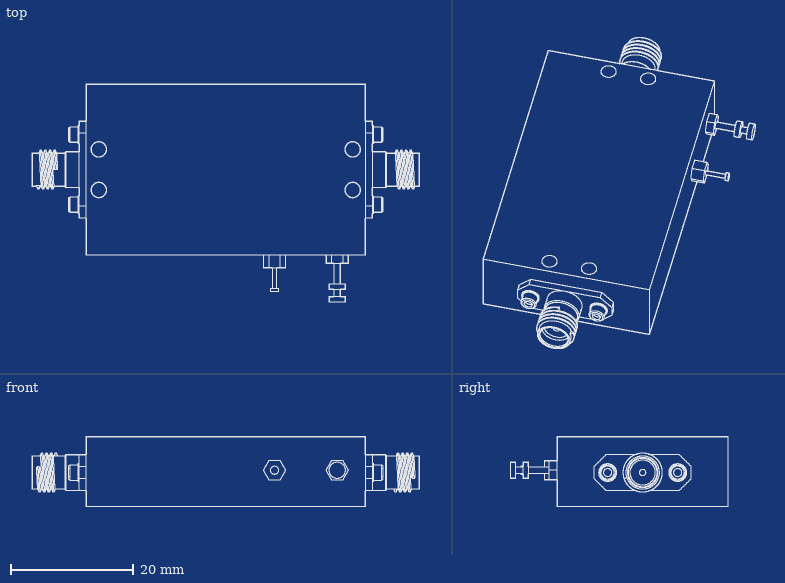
import cadquery as cq
import math

overall_length = 63.2
connector_length = 8.8
housing_length = overall_length - 2 * connector_length
housing_width = 27.95
housing_height = 11.45
half_length = housing_length / 2
half_width = housing_width / 2

mount_hole_diameter = 2.45
mount_hole_inset = 2.1
mount_hole_spacing = 6.65

connector_height = 5.55
flange_width = 15.85
flange_height = 5.9
flange_thickness = 1.15
flange_chamfer = 1.95
collar_end = 3.5
collar_diameter = 5.9
collar_chamfer = 0.2
barrel_diameter = 5.45
thread_start = 4.9
thread_pitch = 0.75
thread_turns = 3.8
thread_crest_diameter = 6.4
thread_ridge_base = 0.65
thread_crest_width = 0.2
thread_embed = 0.05
rim_diameter = 4.9
rim_depth = 0.2
bore_diameter = 4.7
bore_floor_diameter = 4.1
bore_taper_length = 0.4
bore_depth = 1.9
bore_floor = connector_length - bore_depth
socket_diameter = 1.0
socket_depth = 1.9

screw_spacing = 11.45
screw_washer_diameter = 2.9
screw_washer_thickness = 0.2
screw_head_diameter = 2.5
screw_head_height = 1.7
screw_head_chamfer = 0.2
screw_recess_diameter = 1.3
screw_recess_depth = 0.6

terminal_height = 5.95
nut_across_flats = 3.15
nut_across_corners = nut_across_flats / math.cos(math.pi / 6)

feed_x = 7.95
feed_nut_thickness = 2.1
feed_pin_diameter = 0.7
feed_head_diameter = 1.3
feed_head_thickness = 0.5
feed_reach = 5.95

turret_x = 18.2
turret_nut_thickness = 1.3
turret_pin_diameter = 1.1
turret_disc_diameter = 2.65
turret_disc_thickness = 0.9
turret_inner_disc_start = 4.7
turret_reach = 7.65


def make_housing():
    """Rectangular block with four vertical through holes."""
    hole_spacing_x = housing_length - 2 * mount_hole_inset
    return (
        cq.Workplane("XY")
        .box(housing_length, housing_width, housing_height, centered=(True, True, False))
        .faces(">Z")
        .workplane()
        .rarray(hole_spacing_x, mount_hole_spacing, 2, 2)
        .hole(mount_hole_diameter)
    )


def make_rod(diameter, start, end):
    """Cylinder along +Z between two distances."""
    return cq.Workplane("XY").workplane(offset=start).circle(diameter / 2).extrude(end - start)


def make_thread():
    """Helical ridge with a narrow flat crest around the barrel."""
    root_radius = barrel_diameter / 2 - thread_embed
    crest_radius = thread_crest_diameter / 2
    helix = cq.Wire.makeHelix(thread_pitch, thread_pitch * thread_turns, root_radius)
    ridge = (
        cq.Workplane("XZ")
        .moveTo(root_radius, -thread_ridge_base / 2)
        .lineTo(crest_radius, -thread_crest_width / 2)
        .lineTo(crest_radius, thread_crest_width / 2)
        .lineTo(root_radius, thread_ridge_base / 2)
        .close()
        .sweep(cq.Workplane(helix), isFrenet=True)
    )
    return ridge.translate((0, 0, thread_start))


def make_bore():
    """Open front cavity: flared rim, straight bore, short taper at the floor."""
    return (
        cq.Workplane("XZ")
        .moveTo(0, bore_floor)
        .lineTo(bore_floor_diameter / 2, bore_floor)
        .lineTo(bore_diameter / 2, bore_floor + bore_taper_length)
        .lineTo(bore_diameter / 2, connector_length - rim_depth)
        .lineTo(rim_diameter / 2, connector_length)
        .lineTo(0, connector_length)
        .close()
        .revolve(360, (0, 0, 0), (0, 1, 0))
    )


def make_screw():
    """Socket-head screw standing on a thin washer, axis along +Z."""
    washer = make_rod(screw_washer_diameter, 0, screw_washer_thickness)
    head = make_rod(screw_head_diameter, 0, screw_head_height).faces(">Z").chamfer(screw_head_chamfer)
    recess = make_rod(screw_recess_diameter, screw_head_height - screw_recess_depth, screw_head_height)
    return washer.union(head).cut(recess)


def make_connector():
    """Flanged coaxial connector with its axis along +Z and its flange on Z = 0."""
    flange = (
        cq.Workplane("XY")
        .rect(flange_height, flange_width)
        .extrude(flange_thickness)
        .edges("|Z")
        .chamfer(flange_chamfer)
    )
    collar = make_rod(collar_diameter, 0, collar_end).faces(">Z").chamfer(collar_chamfer)
    barrel = make_rod(barrel_diameter, 0, connector_length)
    socket = make_rod(socket_diameter, bore_floor - socket_depth, bore_floor)
    connector = flange.union(collar).union(barrel).union(make_thread())
    connector = connector.cut(make_bore()).cut(socket)
    for side in (-1, 1):
        connector = connector.union(make_screw().translate((0, side * screw_spacing / 2, flange_thickness)))
    return connector


def make_nut(thickness):
    """Hexagonal nut along +Z with two corners on the X axis."""
    return cq.Workplane("XY").polygon(6, nut_across_corners).extrude(thickness)


def make_feed_terminal():
    """Thin headed pin through a hexagonal nut."""
    pin = make_rod(feed_pin_diameter, 0, feed_reach)
    head = make_rod(feed_head_diameter, feed_reach - feed_head_thickness, feed_reach)
    return make_nut(feed_nut_thickness).union(pin).union(head)


def make_turret_terminal():
    """Pin with two discs through a hexagonal nut."""
    terminal = make_nut(turret_nut_thickness).union(make_rod(turret_pin_diameter, 0, turret_reach))
    for start in (turret_inner_disc_start, turret_reach - turret_disc_thickness):
        terminal = terminal.union(make_rod(turret_disc_diameter, start, start + turret_disc_thickness))
    return terminal


def place_on_end(connector, side):
    """Turn a connector outward along X and seat it on an end face."""
    turned = connector.rotate((0, 0, 0), (0, 1, 0), side * 90)
    return turned.translate((side * half_length, 0, connector_height))


def place_on_front(terminal, x):
    """Turn a terminal toward -Y and seat it on the housing."""
    turned = terminal.rotate((0, 0, 0), (1, 0, 0), 90)
    return turned.translate((x, -half_width, terminal_height))


result = make_housing()
for end_side in (-1, 1):
    result = result.union(place_on_end(make_connector(), end_side))
result = result.union(place_on_front(make_feed_terminal(), feed_x))
result = result.union(place_on_front(make_turret_terminal(), turret_x))